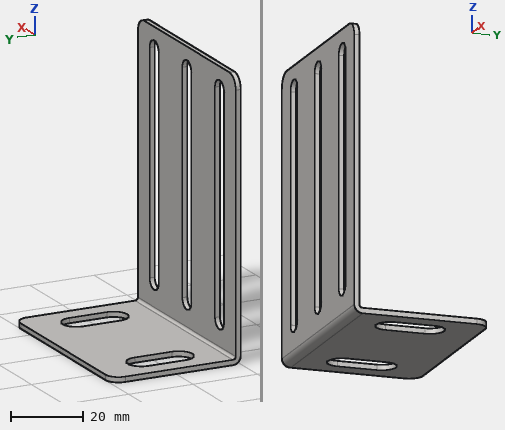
import cadquery as cq

width = 60.0
depth = 40.0
height = 84.0

thickness = 1.6
bend_outer_radius = 2.4
bend_inner_radius = bend_outer_radius - thickness
corner_radius = 4.0

upright_slot_count = 3
upright_slot_pitch = 20.0
upright_slot_width = 5.5
upright_slot_length = 72.5
upright_slot_top_margin = 4.0

base_slot_pitch = 40.0
base_slot_width = 8.4
base_slot_length = 20.0


def make_bent_sheet():
    """Upright on the -Y side and base on the bottom, joined by a rounded bend."""
    upright = cq.Workplane("XY").box(width, thickness, height, centered=(True, False, False))
    base = cq.Workplane("XY").box(width, depth, thickness, centered=(True, False, False))
    sheet = upright.union(base)
    inner_edge = cq.selectors.NearestToPointSelector((0, thickness, thickness))
    outer_edge = cq.selectors.NearestToPointSelector((0, 0, 0))
    sheet = sheet.edges("|X").edges(inner_edge).fillet(bend_inner_radius)
    return sheet.edges("|X").edges(outer_edge).fillet(bend_outer_radius)


def round_free_corners(sheet):
    """Round the two top corners of the upright and the two far corners of the base."""
    sheet = sheet.faces(">Z").edges("|Y").fillet(corner_radius)
    return sheet.faces(">Y").edges("|Z").fillet(corner_radius)


def upright_slots():
    """Row of tall slots, evenly spaced about the middle of the upright."""
    center_z = height - upright_slot_top_margin - upright_slot_length / 2
    return (
        cq.Workplane("XZ")
        .center(0, center_z)
        .rarray(upright_slot_pitch, 0.8, upright_slot_count, 1)
        .slot2D(upright_slot_length, upright_slot_width, angle=90)
        .extrude(-thickness)
    )


def base_slots():
    """Pair of slots running front to back, halfway along the base."""
    return (
        cq.Workplane("XY")
        .center(0, depth / 2)
        .rarray(base_slot_pitch, 0.8, 2, 1)
        .slot2D(base_slot_length, base_slot_width, angle=90)
        .extrude(thickness)
    )


result = round_free_corners(make_bent_sheet()).cut(upright_slots()).cut(base_slots())